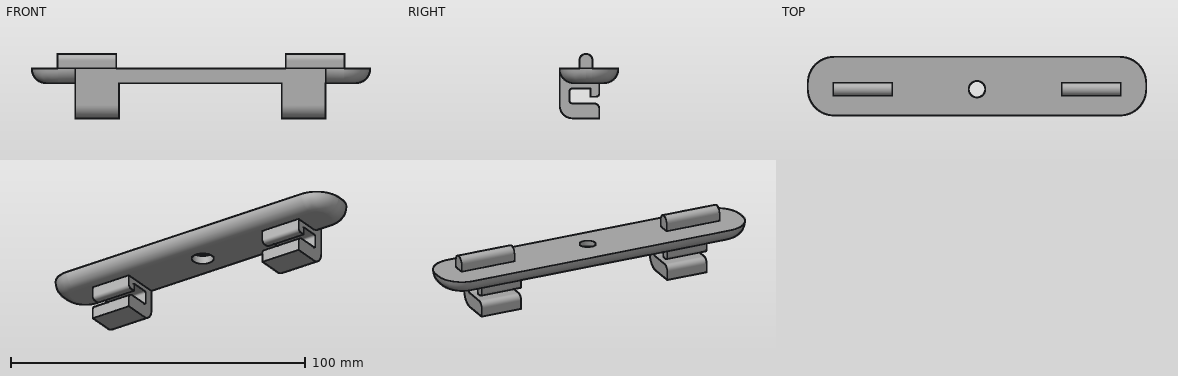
import cadquery as cq

length = 115.0
width = 20.0
thickness = 5.1
corner_radius = 9.0
edge_radius = 5.0
front_y = -width / 2

feature_y = -1.0
rib_length = 20.0
rib_width = 4.5
rib_height = 5.0
rib_crown_radius = 2.2
rib_center_x = 38.8
hole_diameter = 5.5
counterbore_diameter = 7.5
counterbore_depth = 3.0

hook_length = 15.0
hook_outer_x = 42.5
hook_shift_x = -0.2
hook_depth = 13.6
hook_bottom_z = -17.0
wall_thickness = 3.5
arm_thickness = 5.2
lip_thickness = 3.1
slot_top_z = -6.9
lip_bottom_z = -9.7
hook_heel_radius = 4.5
arm_tip_radius = 2.0
lip_tip_radius = 1.3
slot_corner_radius = 0.8


def make_plate():
    """Round-cornered plate with a rounded underside and a square middle of the front edge."""
    plate = (
        cq.Workplane("XY")
        .box(length, width, thickness, centered=(True, True, False))
        .translate((0, 0, -thickness))
        .edges("|Z")
        .fillet(corner_radius)
        .faces("<Z")
        .edges()
        .fillet(edge_radius)
    )
    square_edge = cq.Workplane("XY").box(
        2 * hook_outer_x, width / 2, thickness, centered=(True, False, False)
    )
    return plate.union(square_edge.translate((hook_shift_x, front_y, -thickness)))


def make_rib(center_x):
    """Upright rib with a rounded crown."""
    return (
        cq.Workplane("XY")
        .box(rib_length, rib_width, rib_height + thickness / 2, centered=(True, True, False))
        .faces(">Z")
        .edges("|X")
        .fillet(rib_crown_radius)
        .translate((center_x, feature_y, -thickness / 2))
    )


def make_hook(start_x):
    """C-shaped hook, extruded along X from start_x."""
    tip_y = front_y + hook_depth
    wall_y = front_y + wall_thickness
    lip_y = tip_y - lip_thickness
    arm_top_z = hook_bottom_z + arm_thickness
    plate_overlap_z = -thickness / 2
    hook = (
        cq.Workplane("YZ")
        .polyline([
            (front_y, plate_overlap_z),
            (front_y, hook_bottom_z),
            (tip_y, hook_bottom_z),
            (tip_y, arm_top_z),
            (wall_y, arm_top_z),
            (wall_y, slot_top_z),
            (lip_y, slot_top_z),
            (lip_y, lip_bottom_z),
            (tip_y, lip_bottom_z),
            (tip_y, plate_overlap_z),
        ])
        .close()
        .extrude(hook_length)
    )
    rounded_corners = [
        (front_y, hook_bottom_z, hook_heel_radius),
        (tip_y, arm_top_z, arm_tip_radius),
        (tip_y, lip_bottom_z, lip_tip_radius),
        (wall_y, arm_top_z, slot_corner_radius),
        (wall_y, slot_top_z, slot_corner_radius),
    ]
    for y, z, radius in rounded_corners:
        corner = cq.selectors.NearestToPointSelector((hook_length / 2, y, z))
        hook = hook.edges("|X").edges(corner).fillet(radius)
    return hook.translate((start_x, 0, 0))


def make_hole():
    """Through hole, counterbored from the underside."""
    bore = cq.Workplane("XY").circle(hole_diameter / 2).extrude(-thickness)
    counterbore = (
        cq.Workplane("XY")
        .workplane(offset=-thickness)
        .circle(counterbore_diameter / 2)
        .extrude(counterbore_depth)
    )
    return bore.union(counterbore).translate((0, feature_y, 0))


result = make_plate()
for rib_x in (-rib_center_x, rib_center_x):
    result = result.union(make_rib(rib_x))
for hook_x in (-hook_outer_x, hook_outer_x - hook_length):
    result = result.union(make_hook(hook_x + hook_shift_x))
result = result.cut(make_hole())